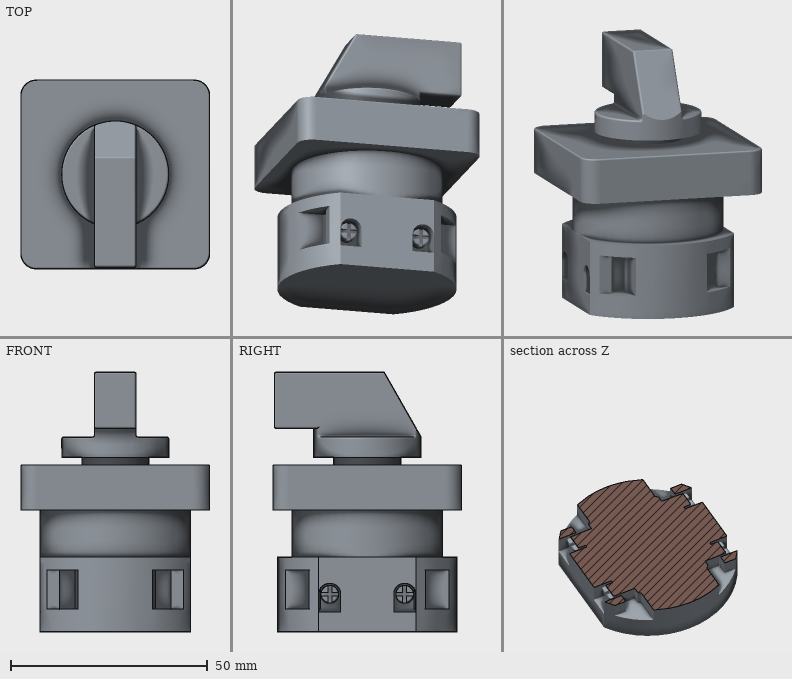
import cadquery as cq
import math

BLOCK_TOP = 19.0
PLATE_BOTTOM = 30.95
PLATE_TOP = 42.45
DISC_BOTTOM = 44.35
DISC_TOP = 49.5
GRIP_BOTTOM = 51.6
GRIP_TOP = 66.0

BODY_RADIUS = 19.15
BLOCK_RADIUS = 22.8
FLAT_X = BODY_RADIUS

PLATE_SIDE = 48.0
PLATE_CORNER_RADIUS = 4.0
PLATE_EDGE_RADIUS = 0.4

NECK_RADIUS = 8.5
DISC_RADIUS = 13.6
GRIP_WIDTH = 10.55
GRIP_FRONT_Y = -23.55
GRIP_BACK_Y = 4.3
GRIP_SLOPE_END_Y = 13.65
KNOB_EDGE_RADIUS = 0.5
SELECTION_MARGIN = 0.05

WINDOW_BOTTOM = 5.8
WINDOW_TOP = 15.8
WINDOW_INNER_X = 9.45
WINDOW_OUTER_X = 17.35
CHANNEL_INNER_X = 10.15
CHANNEL_OUTER_X = 14.2
WINDOW_OUTER_Y = math.sqrt(BLOCK_RADIUS**2 - WINDOW_OUTER_X**2)
SHOULDER_Y = 14.1
SHOULDER_WIDTH = CHANNEL_INNER_X - WINDOW_INNER_X
CHANNEL_END_Y = 11.8

POCKET_BOTTOM = 5.0
POCKET_RADIUS = 2.8
SCREW_Y = 9.5
SCREW_Z = 9.6
SCREW_RADIUS = 2.25
SCREW_EDGE_RADIUS = 0.45
SCREW_FACE_DEPTH = 2.0
SLOT_WIDTH = 1.0
SLOT_DEPTH = 1.0
POCKET_BACK_X = CHANNEL_OUTER_X
SCREW_FACE_X = FLAT_X - SCREW_FACE_DEPTH


def cylinder(radius, bottom, top):
    """Upright cylinder on the part axis."""
    return cq.Workplane("XY").workplane(offset=bottom).circle(radius).extrude(top - bottom)


def box(x_range, y_range, z_range):
    """Box between pairs of X, Y and Z limits."""
    lows, highs = zip(x_range, y_range, z_range)
    sizes = [high - low for low, high in zip(lows, highs)]
    return cq.Workplane("XY").box(*sizes, centered=False).translate(lows)


def edges_between(bottom, top):
    """Selector for edges lying wholly between two heights."""
    low_corner = (-PLATE_SIDE, -PLATE_SIDE, bottom - SELECTION_MARGIN)
    high_corner = (PLATE_SIDE, PLATE_SIDE, top + SELECTION_MARGIN)
    return cq.selectors.BoxSelector(low_corner, high_corner, boundingbox=True)


def at_four_corners(corner):
    """Mirror a shape from the +X +Y quarter into all four quarters."""
    both_sides = corner.union(corner.mirror("YZ"))
    return both_sides.union(both_sides.mirror("XZ"))


def wire_window():
    """Opening from the drum wall that narrows into a channel, with one slanted shoulder."""
    plan = [
        (WINDOW_OUTER_X, BLOCK_RADIUS),
        (WINDOW_OUTER_X, WINDOW_OUTER_Y),
        (CHANNEL_OUTER_X, WINDOW_OUTER_Y),
        (CHANNEL_OUTER_X, CHANNEL_END_Y),
        (CHANNEL_INNER_X, CHANNEL_END_Y),
        (CHANNEL_INNER_X, SHOULDER_Y - SHOULDER_WIDTH),
        (WINDOW_INNER_X, SHOULDER_Y),
        (WINDOW_INNER_X, BLOCK_RADIUS),
    ]
    height = WINDOW_TOP - WINDOW_BOTTOM
    return cq.Workplane("XY").workplane(offset=WINDOW_BOTTOM).polyline(plan).close().extrude(height)


def terminal_pocket():
    """Pocket with an arched top, sunk into the flat."""
    depth = FLAT_X - POCKET_BACK_X
    return (
        cq.Workplane("YZ")
        .workplane(offset=POCKET_BACK_X)
        .moveTo(SCREW_Y - POCKET_RADIUS, POCKET_BOTTOM)
        .lineTo(SCREW_Y + POCKET_RADIUS, POCKET_BOTTOM)
        .lineTo(SCREW_Y + POCKET_RADIUS, SCREW_Z)
        .threePointArc((SCREW_Y, SCREW_Z + POCKET_RADIUS), (SCREW_Y - POCKET_RADIUS, SCREW_Z))
        .close()
        .extrude(depth)
    )


def screw_head():
    """Round-edged screw head standing on the pocket's back wall, with a cross slot."""
    head = (
        cq.Workplane("YZ")
        .workplane(offset=POCKET_BACK_X)
        .center(SCREW_Y, SCREW_Z)
        .circle(SCREW_RADIUS)
        .extrude(SCREW_FACE_X - POCKET_BACK_X)
        .faces(">X")
        .edges()
        .fillet(SCREW_EDGE_RADIUS)
    )
    slot_face = cq.Workplane("YZ").workplane(offset=SCREW_FACE_X).center(SCREW_Y, SCREW_Z)
    level_slot = slot_face.rect(2 * SCREW_RADIUS, SLOT_WIDTH).extrude(-SLOT_DEPTH)
    upright_slot = slot_face.rect(SLOT_WIDTH, 2 * SCREW_RADIUS).extrude(-SLOT_DEPTH)
    return head.cut(level_slot).cut(upright_slot)


def contact_block():
    """Drum with flats, four wire windows and four terminal pockets with screws."""
    flats = box((-FLAT_X, FLAT_X), (-BLOCK_RADIUS, BLOCK_RADIUS), (0, BLOCK_TOP))
    block = cylinder(BLOCK_RADIUS, 0, BLOCK_TOP).intersect(flats)
    block = block.cut(at_four_corners(wire_window()))
    block = block.cut(at_four_corners(terminal_pocket()))
    return block.union(at_four_corners(screw_head()))


def front_plate():
    """Square plate with round corners and a softened top edge."""
    return (
        cq.Workplane("XY")
        .workplane(offset=PLATE_BOTTOM)
        .rect(PLATE_SIDE, PLATE_SIDE)
        .extrude(PLATE_TOP - PLATE_BOTTOM)
        .edges("|Z")
        .fillet(PLATE_CORNER_RADIUS)
        .faces(">Z")
        .edges()
        .fillet(PLATE_EDGE_RADIUS)
    )


def knob():
    """Disc and grip in one piece; below its overhang the grip keeps to the disc's round wall."""
    grip = (
        cq.Workplane("YZ")
        .moveTo(GRIP_FRONT_Y, DISC_TOP)
        .lineTo(GRIP_FRONT_Y, GRIP_TOP)
        .lineTo(GRIP_BACK_Y, GRIP_TOP)
        .lineTo(GRIP_SLOPE_END_Y, DISC_TOP)
        .close()
        .extrude(GRIP_WIDTH / 2, both=True)
    )
    disc_column = cylinder(DISC_RADIUS, DISC_BOTTOM, GRIP_BOTTOM)
    reach = (-PLATE_SIDE, PLATE_SIDE)
    above_overhang = box(reach, reach, (GRIP_BOTTOM, GRIP_TOP))
    grip = grip.intersect(disc_column.union(above_overhang))
    solid = cylinder(DISC_RADIUS, DISC_BOTTOM, DISC_TOP).union(grip).clean()

    straight_edges = solid.edges(edges_between(DISC_TOP, GRIP_TOP)).edges("%LINE")
    rim_edges = solid.edges(edges_between(DISC_TOP, DISC_TOP)).edges("%CIRCLE")
    return straight_edges.add(rim_edges).fillet(KNOB_EDGE_RADIUS)


result = (
    contact_block()
    .union(cylinder(BODY_RADIUS, BLOCK_TOP, PLATE_BOTTOM))
    .union(front_plate())
    .union(cylinder(NECK_RADIUS, PLATE_TOP, DISC_BOTTOM))
    .union(knob())
)